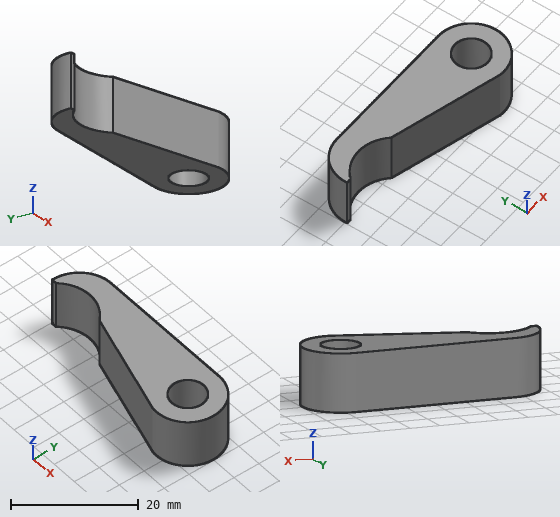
import cadquery as cq
import math

INCH = 25.4

thickness = 0.375 * INCH
end_radius = 0.25 * INCH
overall_length = 1.5625 * INCH
pivot_hole_diameter = 0.25 * INCH
throat_radius = 0.28125 * INCH
throat_center_y = -5.05
tip_y = -0.35
belly_end_x = -0.9

hook_center_x = 2 * end_radius - overall_length
hook_back_x = hook_center_x - end_radius
throat_half_width = math.sqrt(throat_radius**2 - (tip_y - throat_center_y) ** 2)
throat_top_y = throat_center_y + throat_radius
belly_end_y = -math.sqrt(end_radius**2 - belly_end_x**2)
arc_middle = end_radius * math.sqrt(0.5)


def make_lever_body():
    """Flat lever: round pivot end, straight back, and a hook with a concave throat."""
    return (
        cq.Workplane("XY")
        .moveTo(hook_center_x, end_radius)
        .lineTo(0, end_radius)
        .threePointArc((end_radius, 0), (belly_end_x, belly_end_y))
        .lineTo(hook_center_x + throat_half_width, tip_y)
        .threePointArc((hook_center_x, throat_top_y), (hook_center_x - throat_half_width, tip_y))
        .lineTo(hook_back_x, tip_y)
        .lineTo(hook_back_x, 0)
        .threePointArc((hook_center_x - arc_middle, arc_middle), (hook_center_x, end_radius))
        .close()
        .extrude(thickness)
    )


def make_pivot_hole():
    """Cylinder that opens the pivot hole through the full thickness."""
    return cq.Workplane("XY").circle(pivot_hole_diameter / 2).extrude(thickness)


result = make_lever_body().cut(make_pivot_hole())